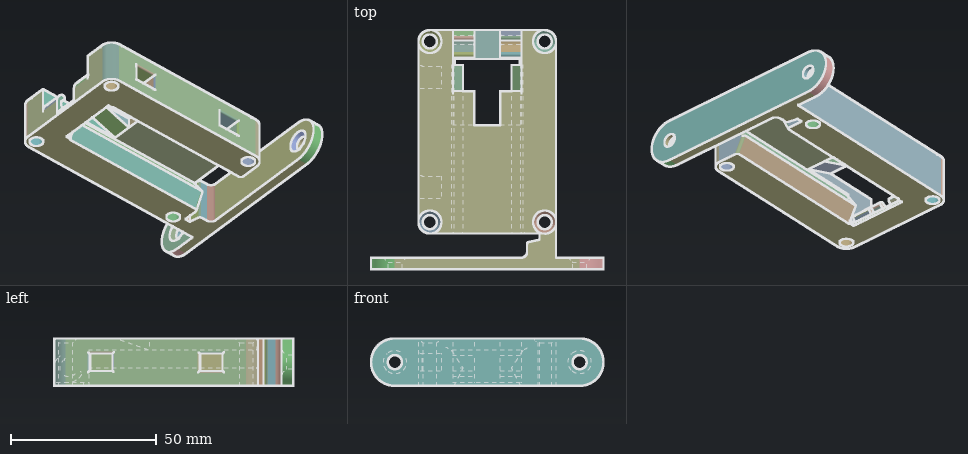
import cadquery as cq
import math

height = 16.3
top_z = height / 2
bottom_z = -top_z
back_y = 82.1

plate_length = 79.8
plate_thickness = 4.0
plate_hole_x = 31.7

hole_dia = 4.8
sink_dia = 8.0
sink_angle = 90.0

body_width = 47.3
body_front_y = 12.2
body_length = back_y - body_front_y
body_mid_y = (back_y + body_front_y) / 2
corner_radius = 4.0
screw_inset = 3.9

arm_right_x = body_width / 2
arm_neck_x = 17.9
arm_foot_x = 13.6
arm_step_y = 10.2
arm_foot_y = 9.3
arm_corner_radius = 0.7
arm_root_radius = 2.0

waist_half_width = 8.3
roof_half_width = 12.3
base_half_width = 11.4
roof_z = 4.1
waist_z = (roof_z + bottom_z) / 2
tunnel_end_y = 70.1
tunnel_edge_radius = 1.0

bay_width = 23.5
bay_front_y = 61.1
slot_width = 8.9
slot_front_y = 49.4

floor_thickness = 1.2
floor_z = bottom_z + floor_thickness
gap_width = 22.0

clip_depth = 10.0
clip_outer_radius = clip_depth / 2
clip_inner_radius = 3.0
clip_centre_z = floor_z + clip_outer_radius
clip_centre_y = back_y - clip_outer_radius
clip_front_y = back_y - clip_depth
clip_tip_angles = (55.0, 211.0)

window_y = (28.25, 66.0)
window_width = 8.0
window_height = 6.0
window_depth = 8.0
window_mouth_depth = 1.2
window_step = 0.4
window_edge_radius = 0.6


def box(x_min, x_max, y_min, y_max, z_min, z_max):
    size = (x_max - x_min, y_max - y_min, z_max - z_min)
    return cq.Workplane("XY").box(*size, centered=False).translate((x_min, y_min, z_min))


def make_plate():
    """Round-ended plate with screw holes countersunk from the block side."""
    plate = cq.Workplane("XZ").slot2D(plate_length, height).extrude(-plate_thickness)
    return (
        plate.faces(">Y")
        .workplane(origin=(0, plate_thickness, 0))
        .pushPoints([(-plate_hole_x, 0), (plate_hole_x, 0)])
        .cskHole(hole_dia, sink_dia, sink_angle)
    )


def make_body():
    return (
        cq.Workplane("XY")
        .box(body_width, body_length, height)
        .edges("|Z")
        .fillet(corner_radius)
        .translate((0, body_mid_y, 0))
    )


def make_arm():
    root_y = plate_thickness
    arm = (
        cq.Workplane("XY", origin=(0, 0, bottom_z))
        .moveTo(arm_right_x, 0)
        .lineTo(arm_right_x, body_front_y + corner_radius)
        .lineTo(arm_neck_x, body_front_y + corner_radius)
        .lineTo(arm_neck_x, arm_step_y)
        .lineTo(arm_foot_x, arm_foot_y)
        .lineTo(arm_foot_x, root_y + arm_root_radius)
        .radiusArc((arm_foot_x - arm_root_radius, root_y), arm_root_radius)
        .lineTo(arm_foot_x - arm_root_radius, 0)
        .close()
        .extrude(height)
    )
    foot_corner = cq.selectors.NearestToPointSelector((arm_foot_x, arm_foot_y, 0))
    return arm.edges(foot_corner).fillet(arm_corner_radius)


def make_tunnel():
    return (
        cq.Workplane("XZ", origin=(0, body_front_y, 0))
        .moveTo(roof_half_width, roof_z)
        .lineTo(waist_half_width, waist_z)
        .lineTo(base_half_width, bottom_z)
        .lineTo(-base_half_width, bottom_z)
        .lineTo(-waist_half_width, waist_z)
        .lineTo(-roof_half_width, roof_z)
        .close()
        .extrude(-(tunnel_end_y - body_front_y))
    )


def cut_rear_bay(part):
    half_bay = bay_width / 2
    half_slot = slot_width / 2
    half_gap = gap_width / 2
    part = part.cut(box(-half_bay, half_bay, tunnel_end_y, back_y, floor_z, top_z))
    part = part.cut(box(-half_bay, half_bay, bay_front_y, tunnel_end_y, roof_z, top_z))
    part = part.cut(box(-half_slot, half_slot, slot_front_y, bay_front_y, roof_z, top_z))
    ramp = (
        cq.Workplane("YZ", origin=(-half_bay, 0, 0))
        .polyline([(slot_front_y, roof_z), (bay_front_y, roof_z), (bay_front_y, top_z)])
        .close()
        .extrude(bay_width)
    )
    part = part.cut(ramp)
    return part.cut(box(-half_gap, half_gap, tunnel_end_y, clip_front_y, bottom_z, floor_z))


def make_clip(x_min):
    """C-shaped axle seat on a pedestal, open towards the front and the top."""
    width = (bay_width - slot_width) / 2
    axis = cq.Workplane("YZ", origin=(x_min, clip_centre_y, clip_centre_z))
    tip_angles = [math.radians(angle) for angle in clip_tip_angles]

    pedestal = box(x_min, x_min + width, clip_centre_y, back_y, floor_z, clip_centre_z)
    clip = pedestal.union(axis.circle(clip_outer_radius).extrude(width))
    clip = clip.cut(axis.circle(clip_inner_radius).extrude(width))

    reach = 2 * clip_depth
    corners = [(reach * math.cos(angle), reach * math.sin(angle)) for angle in tip_angles]
    mouth = axis.polyline([(0, 0), corners[0], (-reach, reach), corners[1]]).close().extrude(width)
    clip = clip.cut(mouth)

    tip_radius = (clip_outer_radius - clip_inner_radius) / 2
    tip_distance = clip_inner_radius + tip_radius
    tips = [(tip_distance * math.cos(angle), tip_distance * math.sin(angle)) for angle in tip_angles]
    return clip.union(axis.pushPoints(tips).circle(tip_radius).extrude(width))


def cut_side_windows(part):
    """Blind pockets in the left side, stepped in on the rear wall behind their mouth."""
    left_x = -body_width / 2
    half_height = window_height / 2
    for y in window_y:
        near_y = y - window_width / 2
        far_y = y + window_width / 2
        mouth = box(left_x, left_x + window_mouth_depth, near_y, far_y, -half_height, half_height)
        pocket = box(left_x, left_x + window_depth, near_y, far_y - window_step, -half_height, half_height)
        part = part.cut(mouth).cut(pocket)
    return part


def round_openings(part):
    """Round the outer edges of the side windows and of the front end of the tunnel."""
    left_x = -body_width / 2
    margin = 0.8
    for y in window_y:
        rim = cq.selectors.BoxSelector(
            (left_x - margin, y - window_width / 2 - margin, -window_height / 2 - margin),
            (left_x + margin, y + window_width / 2 + margin, window_height / 2 + margin),
        )
        part = part.edges(rim).edges("#X").fillet(window_edge_radius)
    front_rim = cq.selectors.BoxSelector(
        (-roof_half_width - margin, body_front_y - margin, bottom_z + margin),
        (roof_half_width + margin, body_front_y + margin, top_z - margin),
    )
    return part.edges(front_rim).edges("#Y").fillet(tunnel_edge_radius)


def cut_screw_holes(part):
    hole_x = body_width / 2 - screw_inset
    hole_y = body_length / 2 - screw_inset
    return (
        part.copyWorkplane(cq.Workplane("XY", origin=(0, body_mid_y, top_z)))
        .rect(2 * hole_x, 2 * hole_y, forConstruction=True)
        .vertices()
        .cskHole(hole_dia, sink_dia, sink_angle)
    )


body = make_body().union(make_arm()).union(make_plate())
body = cut_rear_bay(body.cut(make_tunnel()))
body = round_openings(cut_side_windows(body))
body = cut_screw_holes(body)
for clip_x in (-bay_width / 2, slot_width / 2):
    body = body.union(make_clip(clip_x))
result = body